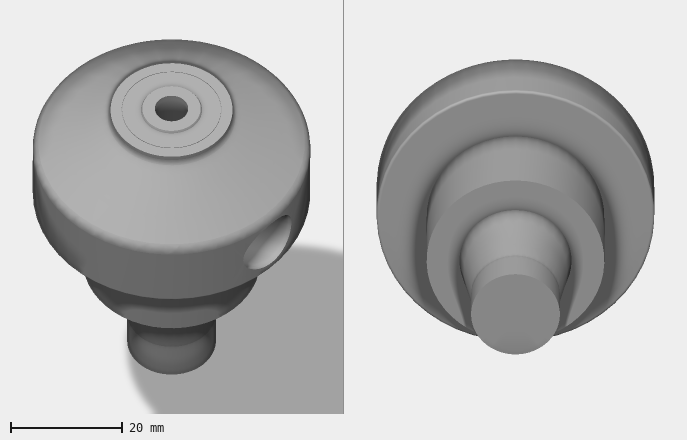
import cadquery as cq
import math

overall_height = 65.0
stem_top = 7.8
taper_top = 22.5
head_bottom = 41.0
boss_height = 0.4
collar_top = overall_height - boss_height
groove_depth = 0.15

stem_diameter = 16.0
taper_top_diameter = 20.2
sleeve_diameter = 32.0
head_diameter = 50.0
collar_diameter = 22.0
boss_base_diameter = 11.0
boss_top_diameter = 10.5
groove_diameter = 18.0
groove_width = 0.1

cone_angle = 30.0
cone_foot_height = 14.0
shoulder_radius = 2.0
collar_root_radius = 1.0

head_bottom_radius = 0.5

top_hole_diameter = 6.0
top_hole_depth = 12.0

cross_hole_diameter = 11.0
cross_hole_y = -11.0
cross_hole_z = 48.0
cross_hole_end_x = 0.0


def cylinder(diameter, bottom, top):
    """Cylinder on the main axis between two heights."""
    return cq.Workplane("XY").workplane(offset=bottom).circle(diameter / 2).extrude(top - bottom)


def make_shank():
    """Stem, tapered neck and sleeve below the head."""
    return (
        cq.Workplane("XZ")
        .polyline([
            (0, 0),
            (stem_diameter / 2, 0),
            (stem_diameter / 2, stem_top),
            (taper_top_diameter / 2, taper_top),
            (sleeve_diameter / 2, taper_top),
            (sleeve_diameter / 2, head_bottom),
            (0, head_bottom),
        ])
        .close()
        .revolve(360, (0, 0), (0, 1))
    )


def make_head():
    """Conical head with a rounded shoulder and a short collar on top."""
    head_radius = head_diameter / 2
    collar_radius = collar_diameter / 2
    cone_foot = head_bottom + cone_foot_height
    cone_top = cone_foot + (head_radius - collar_radius) * math.tan(math.radians(cone_angle))
    profile = (
        cq.Workplane("XZ")
        .polyline([
            (0, head_bottom),
            (head_radius, head_bottom),
            (head_radius, cone_foot),
            (collar_radius, cone_top),
            (collar_radius, collar_top),
            (0, collar_top),
        ])
        .close()
    )
    head = profile.revolve(360, (0, 0), (0, 1))
    head = head.edges(cq.selectors.RadiusNthSelector(-1)).edges(">Z").fillet(shoulder_radius)
    head = head.edges(cq.selectors.RadiusNthSelector(0)).edges("<Z").fillet(collar_root_radius)
    return head.faces("<Z").edges().fillet(head_bottom_radius)


def make_boss():
    """Low conical boss in the middle of the collar face."""
    return (
        cq.Workplane("XY", origin=(0, 0, collar_top))
        .circle(boss_base_diameter / 2)
        .workplane(offset=boss_height)
        .circle(boss_top_diameter / 2)
        .loft(ruled=True)
    )


def make_groove():
    """Fine ring groove in the collar face."""
    outer = cylinder(groove_diameter, collar_top - groove_depth, collar_top)
    inner = cylinder(groove_diameter - 2 * groove_width, collar_top - groove_depth, collar_top)
    return outer.cut(inner)


def make_top_hole():
    return cylinder(top_hole_diameter, overall_height - top_hole_depth, overall_height)


def make_cross_hole():
    """Cross hole tool running from its blind end out through the +X side."""
    return (
        cq.Workplane("YZ", origin=(cross_hole_end_x, cross_hole_y, cross_hole_z))
        .circle(cross_hole_diameter / 2)
        .extrude(head_diameter / 2 - cross_hole_end_x)
    )


body = make_shank().union(make_head()).union(make_boss())
result = body.cut(make_groove()).cut(make_top_hole()).cut(make_cross_hole())